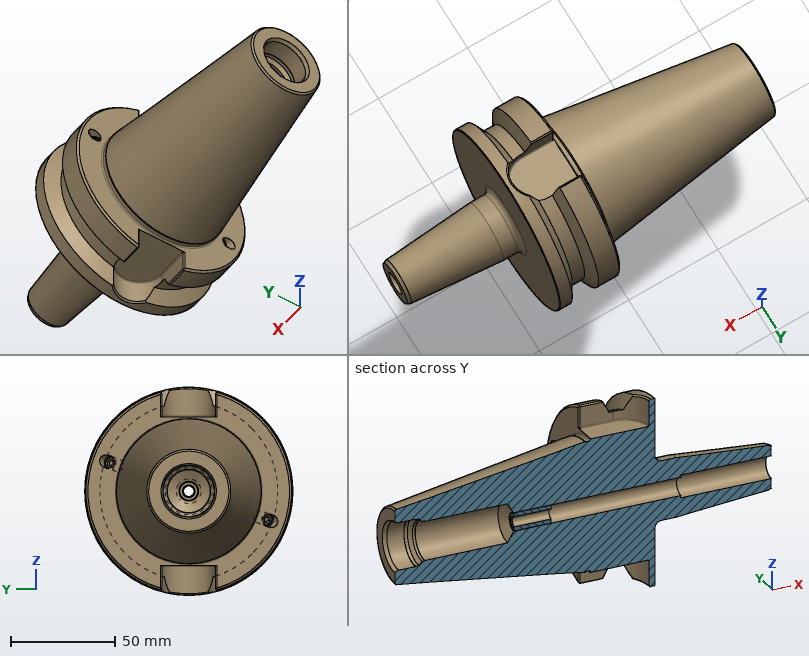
import cadquery as cq
import math

total_length = 201.8

taper_ratio = 7 / 24
taper_length = 101.7
taper_large_radius = 35.0
taper_small_radius = taper_large_radius - taper_length * taper_ratio / 2
taper_end_chamfer = 0.8
neck_radius = 69.5 / 2
neck_chamfer_length = 0.6
neck_fillet = 0.6

flange_radius = 100.0 / 2
drive_flange_radius = 49.5
flange_start = 105.0
flange_end = 139.6
flange_front_chamfer = 1.0
flange_rear_chamfer = 0.5
groove_floor_radius = 42.8
groove_floor_start = 121.3
groove_floor_end = 128.3
groove_flank_slope = math.tan(math.radians(30))

shank_radius = 32.0 / 2
shank_fillet = 3.2
shank_cone_start = 150.7
shank_tip_radius = 12.1
shank_tip_chamfer_length = 1.8
shank_tip_chamfer_depth = 0.8

mouth_radius = 12.5
mouth_chamfer_depth = 0.8
mouth_chamfer_length = 2.0
mouth_depth = 11.0
pilot_radius = 12.3
pilot_depth = 13.0
thread_radius = 10.5
thread_depth = 16.1
drill_radius = 10.3
drill_depth = 60.5
drill_tip_half_angle = 60
tool_hole_radius = 12.0 / 2
tool_hole_start = 153.4

adjusting_screw_radius = 9.5 / 2
adjusting_screw_length = 20.2
adjusting_screw_hole_radius = 5.0 / 2
adjusting_screw_mouth_radius = 6.0 / 2
adjusting_screw_chamfer = 0.5
drill_tip_end = drill_depth + (drill_radius - adjusting_screw_radius) / math.tan(
    math.radians(drill_tip_half_angle)
)

slot_width = 25.6
slot_floor_height = 35.7
slot_arc_centre = 123.3
slot_edge_chamfer = 0.8
slot_floor_fillet = 0.5

hole_radius = 6.3 / 2
hole_pitch_radius = 41.8
hole_position_angle = 20
hole_tilt = math.radians(30)
set_screw_radius = 6.0 / 2
set_screw_depth = 3.0
set_screw_length = 8.0
set_screw_chamfer = 0.6
socket_width = 3.0
socket_depth = 2.5

axis_start = (0, 0, 0)
axis_end = (1, 0, 0)


def revolve_about_axis(outline):
    return outline.close().revolve(360, axis_start, axis_end)


def opposite_pair(shape, first_angle):
    """The shape turned about the tool axis to the given angle and to the angle opposite it."""
    return [shape.rotate(axis_start, axis_end, first_angle + turn) for turn in (0, 180)]


def make_outside():
    front_flank_run = (drive_flange_radius - groove_floor_radius) * groove_flank_slope
    rear_flank_run = (flange_radius - groove_floor_radius) * groove_flank_slope
    outline = (
        cq.Workplane("XY")
        .lineTo(0, taper_small_radius - taper_end_chamfer)
        .lineTo(taper_end_chamfer, taper_small_radius + taper_end_chamfer * taper_ratio / 2)
        .lineTo(taper_length, taper_large_radius)
        .lineTo(taper_length + neck_chamfer_length, neck_radius)
        .lineTo(flange_start - neck_fillet, neck_radius)
        .radiusArc((flange_start, neck_radius + neck_fillet), -neck_fillet)
        .lineTo(flange_start, drive_flange_radius - flange_front_chamfer)
        .lineTo(flange_start + flange_front_chamfer, drive_flange_radius)
        .lineTo(groove_floor_start - front_flank_run, drive_flange_radius)
        .lineTo(groove_floor_start, groove_floor_radius)
        .lineTo(groove_floor_end, groove_floor_radius)
        .lineTo(groove_floor_end + rear_flank_run, flange_radius)
        .lineTo(flange_end - flange_rear_chamfer, flange_radius)
        .lineTo(flange_end, flange_radius - flange_rear_chamfer)
        .lineTo(flange_end, shank_radius + shank_fillet)
        .radiusArc((flange_end + shank_fillet, shank_radius), -shank_fillet)
        .lineTo(shank_cone_start, shank_radius)
        .lineTo(total_length - shank_tip_chamfer_length, shank_tip_radius)
        .lineTo(total_length, shank_tip_radius - shank_tip_chamfer_depth)
        .lineTo(total_length, 0)
    )
    return revolve_about_axis(outline)


def make_bore():
    outline = (
        cq.Workplane("XY")
        .lineTo(0, mouth_radius + mouth_chamfer_depth)
        .lineTo(mouth_chamfer_length, mouth_radius)
        .lineTo(mouth_depth, mouth_radius)
        .lineTo(mouth_depth, pilot_radius)
        .lineTo(pilot_depth, pilot_radius)
        .lineTo(pilot_depth + pilot_radius - thread_radius, thread_radius)
        .lineTo(thread_depth, thread_radius)
        .lineTo(thread_depth, drill_radius)
        .lineTo(drill_depth, drill_radius)
        .lineTo(drill_tip_end, adjusting_screw_radius)
        .lineTo(tool_hole_start, adjusting_screw_radius)
        .lineTo(tool_hole_start, tool_hole_radius)
        .lineTo(total_length, tool_hole_radius)
        .lineTo(total_length, 0)
    )
    return revolve_about_axis(outline)


def make_slot():
    half_width = slot_width / 2
    slot = (
        cq.Workplane("XY", origin=(0, 0, slot_floor_height))
        .moveTo(flange_start, -half_width)
        .lineTo(slot_arc_centre, -half_width)
        .threePointArc((slot_arc_centre + half_width, 0), (slot_arc_centre, half_width))
        .lineTo(flange_start, half_width)
        .close()
        .extrude(flange_radius)
    )
    return slot.edges("<Z").edges("not <X").fillet(slot_floor_fillet)


def make_slot_front_chamfer():
    """Widening of the slot walls where they open onto the front face of the flange."""
    half_width = slot_width / 2
    return (
        cq.Workplane("XY", origin=(0, 0, slot_floor_height))
        .moveTo(flange_start, -half_width - slot_edge_chamfer)
        .lineTo(flange_start + slot_edge_chamfer, -half_width)
        .lineTo(flange_start + slot_edge_chamfer, half_width)
        .lineTo(flange_start, half_width + slot_edge_chamfer)
        .close()
        .extrude(flange_radius)
    )


def chamfer_slot_rims(body):
    """Chamfer the edges where the slot walls meet the two outer cylinders of the flange."""
    wall_edge_height = math.sqrt(drive_flange_radius**2 - (slot_width / 2) ** 2)
    wall_edge_x = (flange_start + groove_floor_start) / 2
    rims = []
    for side in (-1, 1):
        for wall in (-1, 1):
            wall_edge = (wall_edge_x, wall * slot_width / 2, side * wall_edge_height)
            rims.append(wall_edge)
        rims.append((slot_arc_centre + slot_width / 2, 0, side * flange_radius))
    for point in rims:
        body = body.edges(cq.selectors.NearestToPointSelector(point)).chamfer(slot_edge_chamfer)
    return body


def set_screw_hole_plane(depth):
    """Plane across a slanted hole, at a distance along the hole from the flange face."""
    inward = (math.cos(hole_tilt), -math.sin(hole_tilt), 0)
    origin = (flange_start + depth * inward[0], hole_pitch_radius + depth * inward[1], 0)
    return cq.Workplane(cq.Plane(origin=origin, xDir=(0, 0, 1), normal=inward))


def make_set_screw_blank():
    return set_screw_hole_plane(set_screw_depth).circle(set_screw_radius).extrude(set_screw_length)


def make_set_screw_hole():
    lead = 2 * hole_radius
    clearance = set_screw_hole_plane(-lead).circle(hole_radius).extrude(lead + set_screw_depth)
    return clearance.union(make_set_screw_blank())


def make_set_screw():
    socket = (
        set_screw_hole_plane(set_screw_depth)
        .polygon(6, socket_width, circumscribed=True)
        .extrude(socket_depth)
    )
    return make_set_screw_blank().faces("<X").chamfer(set_screw_chamfer).cut(socket)


def make_adjusting_screw():
    countersink_depth = adjusting_screw_mouth_radius - adjusting_screw_hole_radius
    end = drill_tip_end + adjusting_screw_length
    outline = (
        cq.Workplane("XY")
        .moveTo(drill_tip_end, adjusting_screw_mouth_radius)
        .lineTo(drill_tip_end, adjusting_screw_radius - adjusting_screw_chamfer)
        .lineTo(drill_tip_end + adjusting_screw_chamfer, adjusting_screw_radius)
        .lineTo(end, adjusting_screw_radius)
        .lineTo(end, adjusting_screw_hole_radius)
        .lineTo(drill_tip_end + countersink_depth, adjusting_screw_hole_radius)
    )
    return revolve_about_axis(outline)


housing = make_outside().cut(make_bore())
for slot in opposite_pair(make_slot(), 0):
    housing = housing.cut(slot)
housing = chamfer_slot_rims(housing)
for front_chamfer in opposite_pair(make_slot_front_chamfer(), 0):
    housing = housing.cut(front_chamfer)
for hole in opposite_pair(make_set_screw_hole(), hole_position_angle):
    housing = housing.cut(hole)

adjusting_screw = make_adjusting_screw()
set_screws = [screw.val() for screw in opposite_pair(make_set_screw(), hole_position_angle)]

result = cq.Compound.makeCompound([housing.val(), adjusting_screw.val(), *set_screws])